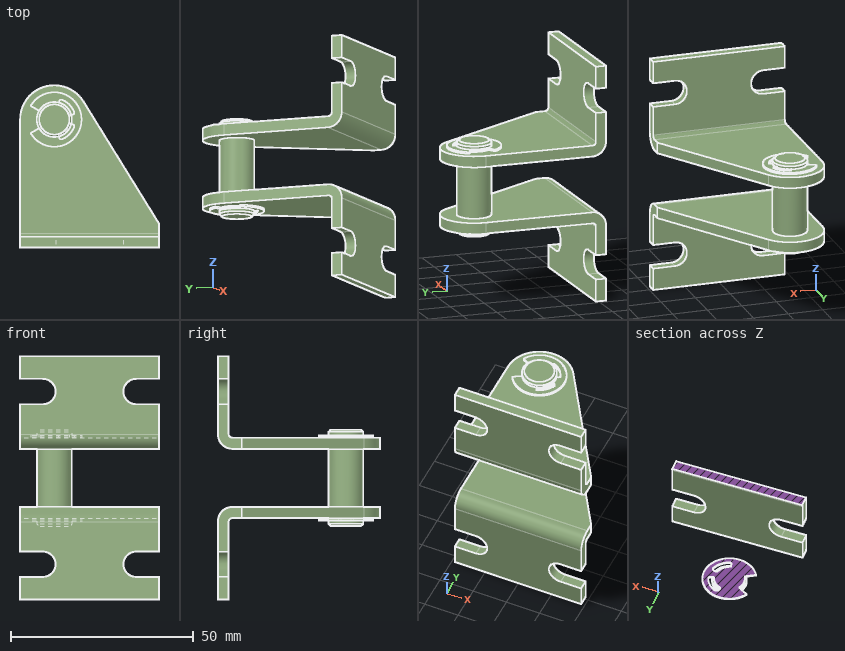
import cadquery as cq
import math

width = 38.1
depth = 44.5
height = 66.7

flange_thickness = 3.0
lug_thickness = 3.15
gap_between_lugs = 15.8
inner_bend_radius = 1.0
outer_bend_radius = 4.1

lug_radius = 9.4
straight_side = 6.6

slot_width = 6.9
slot_length = 9.75
slot_edge_margin = 6.3

pin_radius = 4.8
pin_length = 26.5
pin_chamfer = 0.7
groove_radius = 4.3

clip_radius = 7.5
clip_thickness = 0.5
clip_clearance = 0.2
clip_opening_angle = 60.0
relief_radius = 5.8
relief_start_angle = 15.0
relief_end_angle = 75.0
relief_corner_radius = 0.55

left = -width / 2
right = width / 2
front = -depth / 2
pin_x = left + lug_radius
pin_y = depth / 2 - lug_radius
lug_inner_z = gap_between_lugs / 2
lug_outer_z = lug_inner_z + lug_thickness
clip_z = lug_outer_z + clip_clearance
top = height / 2


def polar(radius, angle):
    """Point at an angle in degrees, measured about the pin axis."""
    a = math.radians(angle)
    return (pin_x + radius * math.cos(a), pin_y + radius * math.sin(a))


def lug_outline():
    """Plan outline: rounded end with one side tapering out to the full width."""
    corner = (right, front + straight_side)
    dx = corner[0] - pin_x
    dy = corner[1] - pin_y
    tangent_angle = math.degrees(math.atan2(dy, dx) + math.acos(lug_radius / math.hypot(dx, dy)))
    return (
        cq.Workplane("XY")
        .moveTo(left, front)
        .lineTo(right, front)
        .lineTo(*corner)
        .lineTo(*polar(lug_radius, tangent_angle))
        .threePointArc(polar(lug_radius, (tangent_angle + 180) / 2), (left, pin_y))
        .close()
    )


def bent_plate():
    """L-shaped side profile with a rounded bend, extruded over the width."""
    back = depth / 2
    flange_back = front + flange_thickness
    profile = (
        cq.Workplane("YZ", origin=(left, 0, 0))
        .polyline([
            (front, lug_inner_z),
            (back, lug_inner_z),
            (back, lug_outer_z),
            (flange_back, lug_outer_z),
            (flange_back, top),
            (front, top),
        ])
        .close()
        .extrude(width)
    )
    outer_bend = cq.selectors.NearestToPointSelector((0, front, lug_inner_z))
    inner_bend = cq.selectors.NearestToPointSelector((0, flange_back, lug_outer_z))
    rounded = profile.edges(outer_bend).fillet(outer_bend_radius)
    return rounded.edges(inner_bend).fillet(inner_bend_radius)


def flange_slot(side):
    """Round-ended slot cutter opening through the left (-1) or right (+1) edge."""
    slot_z = top - slot_edge_margin - slot_width / 2
    return (
        cq.Workplane("XZ", origin=(side * width / 2, front, slot_z))
        .slot2D(2 * slot_length, slot_width)
        .extrude(-flange_thickness)
    )


def bracket():
    """Upper bracket: bent plate trimmed to the lug outline, with its flange slots."""
    plate = bent_plate().intersect(lug_outline().extrude(top))
    for side in (-1, 1):
        plate = plate.cut(flange_slot(side))
    return plate


def pin():
    """Pin along Z with chamfered ends and a groove for each clip."""
    groove = (
        cq.Workplane("XY", origin=(pin_x, pin_y, clip_z))
        .circle(pin_radius)
        .circle(groove_radius)
        .extrude(clip_thickness)
    )
    return (
        cq.Workplane("XY", origin=(pin_x, pin_y, -pin_length / 2))
        .circle(pin_radius)
        .extrude(pin_length)
        .edges()
        .chamfer(pin_chamfer)
        .cut(groove)
        .cut(groove.mirror("XY"))
    )


def clip_relief(start_angle, end_angle):
    """Pie-slice cutter from the pin axis; its rounded outer corners shape the clip's inner notch."""
    middle = (start_angle + end_angle) / 2
    return (
        cq.Workplane("XY", origin=(0, 0, clip_z))
        .moveTo(pin_x, pin_y)
        .lineTo(*polar(relief_radius, start_angle))
        .threePointArc(polar(relief_radius, middle), polar(relief_radius, end_angle))
        .close()
        .extrude(clip_thickness)
        .edges("|Z")
        .fillet(relief_corner_radius)
    )


def clip():
    """Flat C-shaped ring seated in the pin groove, open towards -X."""
    gap_start = 180 - clip_opening_angle / 2
    body = (
        cq.Workplane("XY", origin=(0, 0, clip_z))
        .moveTo(*polar(groove_radius, gap_start))
        .lineTo(*polar(clip_radius, gap_start))
        .threePointArc(polar(clip_radius, 0), polar(clip_radius, -gap_start))
        .lineTo(*polar(groove_radius, -gap_start))
        .threePointArc(polar(groove_radius, 0), polar(groove_radius, gap_start))
        .close()
        .extrude(clip_thickness)
    )
    body = body.cut(clip_relief(relief_start_angle, relief_end_angle))
    return body.cut(clip_relief(-relief_end_angle, -relief_start_angle))


upper_half = bracket().union(clip())
result = pin().union(upper_half).union(upper_half.mirror("XY"))